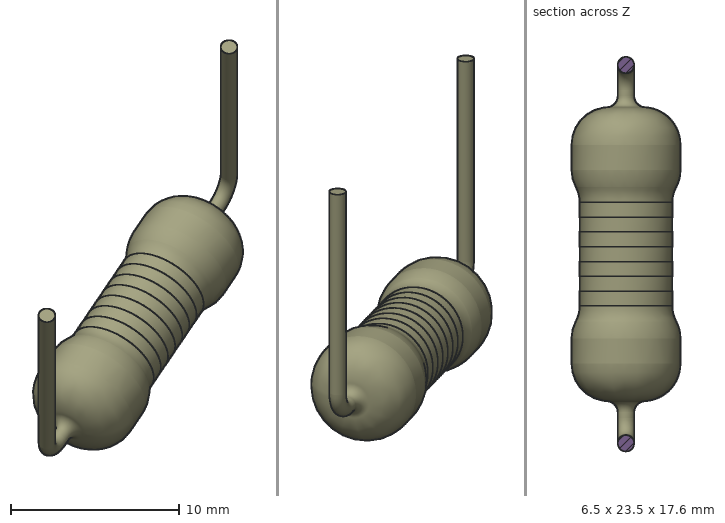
import cadquery as cq
import math


cap_radius = 3.25
core_radius = 2.765
dome_radius = 2.25
cap_inner_y = 5.0
cap_outer_y = 6.5
shoulder_y = 4.0

zone_count = 7
zone_width = 0.88
band_radius = 2.77
core_end_y = zone_count * zone_width / 2

lead_radius = 0.5
lead_y = 11.25
lead_top_z = 14.35
bend_radius = 1.5
root_fillet_radius = 0.65
bend_start_y = lead_y - bend_radius

shoulder_slope = 2 * math.atan((cap_radius - core_radius) / (cap_inner_y - core_end_y))
convex_radius = (cap_inner_y - shoulder_y) / math.sin(shoulder_slope)
concave_radius = (shoulder_y - core_end_y) / math.sin(shoulder_slope)
shoulder_radius = cap_radius - convex_radius * (1 - math.cos(shoulder_slope))

dome_center_radius = cap_radius - dome_radius
root_center_radius = lead_radius + root_fillet_radius
center_distance = dome_radius + root_fillet_radius
root_tilt = math.asin((root_center_radius - dome_center_radius) / center_distance)
root_end_y = cap_outer_y + center_distance * math.cos(root_tilt)


def polar(center, radius, angle):
    """Point (radial distance, y) on a circle; the angle is measured from the radial direction."""
    return (center[0] + radius * math.cos(angle), center[1] + radius * math.sin(angle))


def make_body_end():
    """+Y end of the body, from the end of the core to the straight lead stub, revolved about Y."""
    quarter_turn = math.pi / 2
    dome_center = (dome_center_radius, cap_outer_y)
    root_center = (root_center_radius, root_end_y)
    concave_center = (core_radius + concave_radius, core_end_y)
    convex_center = (cap_radius - convex_radius, cap_inner_y)
    dome_end_angle = quarter_turn - root_tilt
    root_start_angle = dome_end_angle + math.pi

    profile = (
        cq.Workplane("XY")
        .moveTo(0, core_end_y)
        .lineTo(core_radius, core_end_y)
        .threePointArc(
            polar(concave_center, concave_radius, math.pi - shoulder_slope / 2),
            (shoulder_radius, shoulder_y),
        )
        .threePointArc(
            polar(convex_center, convex_radius, -shoulder_slope / 2),
            (cap_radius, cap_inner_y),
        )
        .lineTo(cap_radius, cap_outer_y)
        .threePointArc(
            polar(dome_center, dome_radius, dome_end_angle / 2),
            polar(dome_center, dome_radius, dome_end_angle),
        )
        .threePointArc(
            polar(root_center, root_fillet_radius, (root_start_angle + math.pi) / 2),
            (lead_radius, root_end_y),
        )
        .lineTo(lead_radius, bend_start_y)
        .lineTo(0, bend_start_y)
        .close()
    )
    return profile.revolve(360, (0, 0, 0), (0, 1, 0))


def make_body_cylinder(radius, center_y, length):
    """Cylinder on the body axis, centred at center_y."""
    return (
        cq.Workplane("XZ", origin=(0, center_y - length / 2, 0))
        .circle(radius)
        .extrude(-length)
    )


def make_bent_lead():
    """+Y lead beyond its stub: a quarter bend followed by a vertical wire."""
    bend = (
        cq.Workplane("XZ", origin=(0, bend_start_y, 0))
        .circle(lead_radius)
        .revolve(90, (0, bend_radius), (1, bend_radius))
    )
    wire = (
        cq.Workplane("XY", origin=(0, lead_y, bend_radius))
        .circle(lead_radius)
        .extrude(lead_top_z - bend_radius)
    )
    return bend.union(wire)


end = make_body_end().union(make_bent_lead())
core = make_body_cylinder(core_radius, 0, 2 * core_end_y)
result = core.union(end).union(end.mirror("XZ"))

for zone in range(0, zone_count, 2):
    band_y = (zone + 0.5) * zone_width - core_end_y
    result = result.union(make_body_cylinder(band_radius, band_y, zone_width))